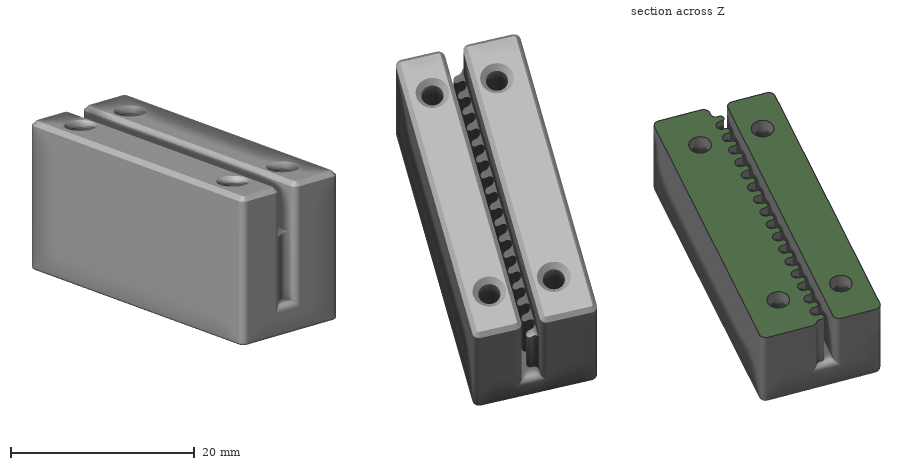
import cadquery as cq
import math

length = 35.0
width = 14.0
height = 17.1
edge_radius = 0.75
top_chamfer = 0.5
bottom_radius = 0.3

slot_floor_z = 3.5
slot_front_y = -1.5
entry_back_y = 0.57
rack_back_y = 0.37

tooth_pitch = 2.0
tooth_count = 17
first_gap_x = -length / 2
last_gap_x = first_gap_x + tooth_count * tooth_pitch
rack_end_margin = 0.4
rack_overlap = 0.08
tooth_width = 0.84
tooth_tip_radius = 0.4
tooth_tip_y = -0.61
groove_root_y = 0.6
tooth_top_angle = 30.0
tooth_tip_top_z = 10.62

hole_diameter = 2.42
countersink_diameter = 3.66
countersink_angle = 90.0
hole_spacing_x = 25.0
hole_rows_y = (3.25, -4.0)


def slotted_block(back_y):
    """Edge-rounded block with a slot that reaches back to back_y."""
    block = cq.Workplane("XY").box(length, width, height, centered=(True, True, False))
    slot = (
        cq.Workplane("XY", origin=(0, (slot_front_y + back_y) / 2, slot_floor_z))
        .box(length, back_y - slot_front_y, height, centered=(True, True, False))
    )
    block = block.cut(slot)
    floor_ends = cq.selectors.BoxSelector(
        (-length, slot_front_y, slot_floor_z - edge_radius),
        (length, back_y, slot_floor_z + edge_radius),
    )
    end_edges = block.edges("|Z").add(block.edges("|Y").edges(floor_ends))
    block = end_edges.fillet(edge_radius)
    block = block.faces(">Z").edges().chamfer(top_chamfer)
    return block.faces("<Z").edges().fillet(bottom_radius)


def toothed_zone():
    """Wedge under the sloping plane of the tooth tops, ending at the gap after the last tooth."""
    slope = math.tan(math.radians(tooth_top_angle))
    back_y = width
    front_z = tooth_tip_top_z + slope * (slot_front_y - tooth_tip_y)
    back_z = tooth_tip_top_z + slope * (back_y - tooth_tip_y)
    return (
        cq.Workplane("YZ", origin=(-length, 0, 0))
        .polyline([(slot_front_y, -height), (back_y, -height), (back_y, back_z), (slot_front_y, front_z)])
        .close()
        .extrude(last_gap_x + length)
    )


def tooth_gap(center_x, bottom_z):
    """Gap between two teeth: round root, straight flanks and a mouth flared by the tooth tip rounds."""
    root_radius = (tooth_pitch - tooth_width) / 2
    root_center_y = groove_root_y - root_radius
    mouth_half_width = root_radius + tooth_tip_radius
    tip_center_y = tooth_tip_y + tooth_tip_radius
    tip_mid_x = mouth_half_width - tooth_tip_radius * math.sqrt(0.5)
    tip_mid_y = tip_center_y - tooth_tip_radius * math.sqrt(0.5)
    return (
        cq.Workplane("XY", origin=(center_x, 0, bottom_z))
        .moveTo(-mouth_half_width, tooth_tip_y)
        .threePointArc((-tip_mid_x, tip_mid_y), (-root_radius, tip_center_y))
        .lineTo(-root_radius, root_center_y)
        .threePointArc((0, groove_root_y), (root_radius, root_center_y))
        .lineTo(root_radius, tip_center_y)
        .threePointArc((tip_mid_x, tip_mid_y), (mouth_half_width, tooth_tip_y))
        .close()
        .extrude(height)
    )


def rack():
    """Bar of teeth that stands on the slot floor against the back wall."""
    bottom_z = slot_floor_z - edge_radius
    bar_start_x = -length / 2 + rack_end_margin
    bar = (
        cq.Workplane("XY", origin=(bar_start_x, tooth_tip_y, bottom_z))
        .box(last_gap_x - bar_start_x, rack_back_y - tooth_tip_y + rack_overlap, height, centered=False)
    )
    for index in range(tooth_count + 1):
        bar = bar.cut(tooth_gap(first_gap_x + index * tooth_pitch, bottom_z))
    return bar


def toothed_block():
    """Block with the narrower slot, the rack and the groove roots sunk into the back wall."""
    block = slotted_block(rack_back_y)
    for index in range(1, tooth_count + 1):
        block = block.cut(tooth_gap(first_gap_x + index * tooth_pitch, slot_floor_z))
    return block.union(rack())


def screw_holes(block):
    positions = [(side * hole_spacing_x / 2, y) for side in (-1, 1) for y in hole_rows_y]
    return (
        block.faces(">Z").workplane(origin=(0, 0, height))
        .pushPoints(positions)
        .cskHole(hole_diameter, countersink_diameter, countersink_angle)
    )


zone = toothed_zone()
toothed_wall = toothed_block().intersect(zone)
plain_body = slotted_block(entry_back_y).cut(zone)
result = screw_holes(toothed_wall.union(plain_body))